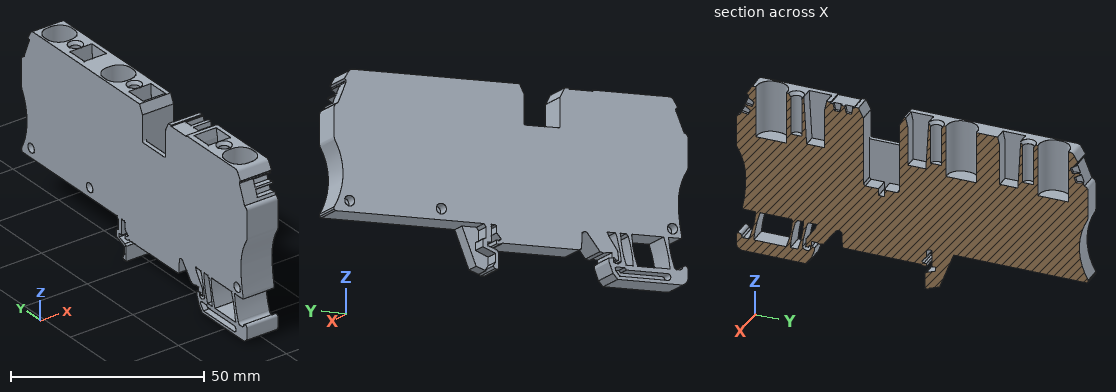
import cadquery as cq
import math

WIDTH = 10.0
LENGTH = 99.1
HEIGHT = 49.5
SIDE_X = WIDTH / 2
END_Y = LENGTH / 2
TOP_Z = HEIGHT / 2
FOOT_Z = -HEIGHT / 2

RAIL_Z = -17.8
BELLY_Z = -13.1
FRAME_Z = -12.5
FRAME_FLOOR_Z = -20.8
GRIP_TOP = (49.3, 5.6)
END_FACE_Z = (14.3, 6.4)

TOP_CORNER_Y = 45.1
TOP_CORNER_RADIUS = 1.4
MARKER_HIGH = (46.2, 21.2)
MARKER_LOW = (48.45, 15.6)

NOTCH_Y = (-3.7, -13.7)
NOTCH_MOUTH_Y = (-2.4, -15.1)
NOTCH_CHAMFER_Z = 22.1
NOTCH_FLOOR_Z = 14.0
NOTCH_RADIUS = 0.4
WELL_WIDTH = 7.5
WELL_DEPTH = 11.9
WELL_FLOOR_CHAMFER = 0.5
WELL_SLOT_Y = (-7.9, -9.4)
WELL_SLOT_DEPTH = 2.0

SEAT_Y = (-16.2, -22.9)
SEAT_DEPTH = 0.3

TERMINALS = ((39.6, -1), (13.8, -1), (-39.6, 1))
SHAFT_WIDTH = 8.7
SHAFT_LENGTH = 8.5
SHAFT_CORNER_RADIUS = 3.8
SHAFT_DEPTH = 14.9
TEST_HOLE_OFFSET = 7.1
TEST_HOLE_DIAMETER = 3.0
TEST_HOLE_MOUTH = 4.3
TEST_HOLE_MOUTH_DEPTH = 1.0
TEST_HOLE_DEPTH = 11.9
ENTRY_OFFSET = 12.5
ENTRY_LENGTH = 6.4
ENTRY_X = (-3.4, 3.7)
ENTRY_DEPTH = 13.9
ENTRY_FAR_TAPER = 0.6
ENTRY_NEAR_TAPER = 0.8
ENTRY_FAR_TAPER_DEPTH = 2.6

GROOVE_START_X = -0.6
GROOVE_DEPTH = 2.0
TOP_GROOVES_Y = (-17.8, -21.1)
END_GROOVES_Z = (20.0, 17.4)
GROOVE_WIDTH = 2.2
GROOVE_FLOOR_WIDTH = 1.4

PIN_HOLES_Y = (45.2, 19.5, -45.2)
PIN_HOLE_Z = -10.1
PIN_HOLE_DIAMETER = 2.8
PIN_HOLE_DEPTH = 4.0

BEAM_RECESS_DEPTH = 4.0
RIB_START_X = 0.0


def prism(outline, x_start, x_end):
    """Extrude a closed YZ outline between two X positions."""
    return outline.extrude(x_end - x_start).translate((x_start, 0, 0))


def profile():
    """Empty sketch in the YZ plane, with Y across and Z up."""
    return cq.Workplane("YZ")


def box_between(x, y, z):
    """Box spanning the two limits given along each axis."""
    lows = [min(pair) for pair in (x, y, z)]
    sizes = [abs(pair[1] - pair[0]) for pair in (x, y, z)]
    return cq.Workplane("XY").box(*sizes, centered=False).translate(tuple(lows))


def mirrored(point):
    """Matching profile point at the opposite Y end."""
    return (-point[0], point[1])


def trace(outline, points):
    """Continue an outline with straight lines through the given points."""
    for point in points:
        outline = outline.lineTo(*point)
    return outline


def round_crosswise_edges(body, y_positions, z, radius):
    """Fillet the edges that run along X at the given positions."""
    half = radius / 10
    for y in y_positions:
        corner = cq.selectors.BoxSelector((-WIDTH, y - half, z - half), (WIDTH, y + half, z + half))
        body = body.edges("|X").edges(corner).fillet(radius)
    return body


def housing():
    """Full-width body: terminal block, rail clip and foot in one outline."""
    end_points = [
        (TOP_CORNER_Y, TOP_Z),
        (46.7, 22.1),
        (46.2, 21.6),
        MARKER_HIGH,
        MARKER_LOW,
        (48.7, 15.5),
    ]
    end_face = (END_Y, END_FACE_Z[0])
    end_foot = (END_Y, END_FACE_Z[1])
    ledge_middle = (49.2, 15.1)
    grip_lip_middle = (49.4, 5.9)
    notch_points = [
        (NOTCH_MOUTH_Y[1], TOP_Z),
        (NOTCH_Y[1], NOTCH_CHAMFER_Z),
        (NOTCH_Y[1], NOTCH_FLOOR_Z),
        (NOTCH_Y[0], NOTCH_FLOOR_Z),
        (NOTCH_Y[0], NOTCH_CHAMFER_Z),
        (NOTCH_MOUTH_Y[0], TOP_Z),
    ]
    clip_points = [
        (7.6, BELLY_Z),
        (7.0, -14.0),
        (7.0, -16.8),
        (7.9, -17.1),
        (7.9, -19.2),
        (4.4, -20.7),
        (4.4, -23.0),
        (5.1, -24.1),
        (4.6, FOOT_Z),
        (3.5, FOOT_Z),
        (3.5, -20.2),
        (4.1, -19.7),
        (6.5, -18.8),
        (6.5, RAIL_Z),
        (5.5, RAIL_Z),
        (5.5, BELLY_Z),
        (4.5, BELLY_Z),
        (4.1, -13.5),
        (4.1, -15.3),
        (2.8, -16.7),
        (3.3, -17.2),
        (4.1, -17.1),
        (4.1, -18.1),
        (2.8, -18.1),
        (2.5, RAIL_Z),
    ]
    rail_gap_points = [
        (-19.3, RAIL_Z),
        (-19.7, -17.4),
        (-19.8, -13.8),
    ]
    foot_points = [
        (-24.9, RAIL_Z),
        (-26.0, -18.1),
        (-27.1, RAIL_Z),
        (-28.2, RAIL_Z),
        (-28.2, -19.2),
        (-27.3, -19.3),
        (-27.4, -20.4),
        (-28.5, -23.3),
        (-29.8, FOOT_Z),
        (-47.8, FOOT_Z),
    ]

    outline = profile().moveTo(*mirrored(end_foot)).lineTo(*mirrored(end_face))
    outline = outline.threePointArc(mirrored(ledge_middle), mirrored(end_points[-1]))
    outline = trace(outline, [mirrored(point) for point in reversed(end_points[:-1])])
    outline = trace(outline, notch_points + end_points)
    outline = outline.threePointArc(ledge_middle, end_face).lineTo(*end_foot)
    outline = outline.threePointArc(grip_lip_middle, GRIP_TOP)
    outline = outline.threePointArc((47.1, -3.3), (END_Y, -12.1))
    outline = outline.lineTo(END_Y, -12.7).lineTo(49.1, BELLY_Z)
    outline = trace(outline, clip_points + rail_gap_points)
    outline = outline.threePointArc((-20.5, -12.9), (-21.4, -13.3))
    outline = trace(outline, foot_points)
    outline = outline.threePointArc((-48.9, -24.3), (-END_Y, -23.0)).lineTo(-END_Y, -20.4)
    outline = outline.threePointArc((-48.7, -19.6), (-48.0, -20.4))
    outline = outline.lineTo(-47.5, FRAME_FLOOR_Z).lineTo(-46.4, FRAME_FLOOR_Z)
    outline = outline.threePointArc((-46.0, -20.6), (-45.7, -20.0))
    outline = outline.threePointArc((-44.9, -17.4), (-44.1, -13.0)).lineTo(-44.1, FRAME_Z)
    outline = outline.lineTo(-47.8, FRAME_Z).lineTo(-47.8, -11.7)
    outline = outline.threePointArc((-47.1, -7.2), (-46.9, -3.1))
    outline = outline.threePointArc((-47.5, 1.4), mirrored(GRIP_TOP))
    outline = outline.threePointArc(mirrored(grip_lip_middle), mirrored(end_foot)).close()
    body = prism(outline, -SIDE_X, SIDE_X)
    body = round_crosswise_edges(body, (TOP_CORNER_Y, -TOP_CORNER_Y), TOP_Z, TOP_CORNER_RADIUS)
    return round_crosswise_edges(body, NOTCH_Y, NOTCH_FLOOR_Z, NOTCH_RADIUS)


def frame_windows():
    """Through openings that leave slender struts between housing and foot."""
    finger_slot = (
        profile()
        .moveTo(-26.95, FRAME_Z)
        .lineTo(-29.1, FRAME_Z)
        .lineTo(-29.5, -13.2)
        .lineTo(-30.5, -17.4)
        .lineTo(-30.8, -19.8)
        .threePointArc((-29.9, -20.6), (-28.7, -20.2))
        .lineTo(-28.6, -19.1)
        .lineTo(-28.9, -19.1)
        .lineTo(-29.2, -19.7)
        .lineTo(-30.0, -19.7)
        .lineTo(-29.9, -17.4)
        .lineTo(-27.3, -13.6)
        .close()
    )
    narrow_window = (
        profile()
        .moveTo(-30.6, FRAME_Z)
        .lineTo(-32.2, FRAME_Z)
        .lineTo(-32.8, -13.2)
        .threePointArc((-33.7, -16.8), (-34.2, FRAME_FLOOR_Z))
        .lineTo(-32.2, FRAME_FLOOR_Z)
        .threePointArc((-31.1, -16.8), (-30.6, FRAME_Z))
        .close()
    )
    wide_window = (
        profile()
        .moveTo(-34.0, FRAME_Z)
        .lineTo(-42.7, FRAME_Z)
        .threePointArc((-43.9, -16.8), (-44.5, FRAME_FLOOR_Z))
        .lineTo(-35.5, FRAME_FLOOR_Z)
        .threePointArc((-34.3, -16.8), (-33.8, -12.9))
        .close()
    )
    slot = prism(finger_slot, -SIDE_X, SIDE_X)
    narrow = prism(narrow_window, -SIDE_X, SIDE_X)
    wide = prism(wide_window, -SIDE_X, SIDE_X)
    return slot.union(narrow).union(wide)


def beam_recess():
    """Elongated blind pocket in the -X side of the foot beam."""
    outline = (
        profile()
        .moveTo(-29.7, -21.5)
        .lineTo(-31.7, -21.5)
        .lineTo(-32.3, -22.1)
        .lineTo(-43.8, -22.1)
        .threePointArc((-44.7, -23.0), (-43.8, -23.9))
        .lineTo(-30.4, -23.9)
        .lineTo(-29.2, -22.4)
        .threePointArc((-29.2, -21.8), (-29.7, -21.5))
        .close()
    )
    return prism(outline, -SIDE_X, -SIDE_X + BEAM_RECESS_DEPTH)


def clip_rib():
    """Rib set back from the -X side that fills the corner behind the clip."""
    outline = profile().polyline(
        [
            (11.7, BELLY_Z),
            (7.7, -23.4),
            (5.0, -24.4),
            (4.4, -23.0),
            (4.4, -20.7),
            (7.2, -19.1),
            (6.7, BELLY_Z),
        ]
    ).close()
    return prism(outline, RIB_START_X, SIDE_X)


def pin_holes():
    """Blind round holes along the lower edge of the -X side."""
    centres = [(y, PIN_HOLE_Z) for y in PIN_HOLES_Y]
    outline = profile().pushPoints(centres).circle(PIN_HOLE_DIAMETER / 2)
    return prism(outline, -SIDE_X, -SIDE_X + PIN_HOLE_DEPTH)


def terminal(shaft_y, direction):
    """Screw shaft, test hole and tapered wire entry of one terminal."""
    shaft = (
        cq.Workplane("XY", origin=(0, shaft_y, TOP_Z))
        .rect(SHAFT_WIDTH, SHAFT_LENGTH)
        .extrude(-SHAFT_DEPTH)
        .edges("|Z")
        .fillet(SHAFT_CORNER_RADIUS)
    )

    hole_y = shaft_y + direction * TEST_HOLE_OFFSET
    hole = (
        cq.Workplane("XY", origin=(0, hole_y, TOP_Z))
        .circle(TEST_HOLE_DIAMETER / 2)
        .extrude(-TEST_HOLE_DEPTH)
    )
    mouth = (
        cq.Workplane("XY", origin=(0, hole_y, TOP_Z))
        .circle(TEST_HOLE_MOUTH / 2)
        .workplane(offset=-TEST_HOLE_MOUTH_DEPTH)
        .circle(TEST_HOLE_DIAMETER / 2)
        .loft()
    )

    entry_y = shaft_y + direction * ENTRY_OFFSET
    near_y = entry_y - direction * ENTRY_LENGTH / 2
    far_y = entry_y + direction * ENTRY_LENGTH / 2
    floor_z = TOP_Z - ENTRY_DEPTH
    far_floor_y = far_y - direction * ENTRY_FAR_TAPER
    entry_outline = profile().polyline(
        [
            (near_y, TOP_Z),
            (far_y, TOP_Z),
            (far_floor_y, TOP_Z - ENTRY_FAR_TAPER_DEPTH),
            (far_floor_y, floor_z),
            (near_y + direction * ENTRY_NEAR_TAPER, floor_z),
        ]
    ).close()
    entry = prism(entry_outline, *ENTRY_X)
    return shaft.union(hole).union(mouth).union(entry)


def bridge_well():
    """Well below the notch, with chamfered floor ends and a cross slot in its floor."""
    floor_z = NOTCH_FLOOR_Z - WELL_DEPTH
    across = (-WELL_WIDTH / 2, WELL_WIDTH / 2)
    rim_z = NOTCH_FLOOR_Z + NOTCH_RADIUS
    well = box_between(across, NOTCH_Y, (floor_z, rim_z))
    well = well.edges("|X and <Z").chamfer(WELL_FLOOR_CHAMFER)
    slot = box_between(across, WELL_SLOT_Y, (floor_z - WELL_SLOT_DEPTH, floor_z))
    return well.union(slot)


def marker_seat():
    """Shallow full-width step in the top face."""
    return box_between((-SIDE_X, SIDE_X), SEAT_Y, (TOP_Z - SEAT_DEPTH, TOP_Z))


def groove(y, z, tilt):
    """Tapered groove sunk below a face point; tilt turns it about X from facing up."""
    outline = profile().polyline(
        [
            (-GROOVE_FLOOR_WIDTH / 2, -GROOVE_DEPTH),
            (GROOVE_FLOOR_WIDTH / 2, -GROOVE_DEPTH),
            (GROOVE_WIDTH / 2, 0),
            (GROOVE_WIDTH / 2, GROOVE_DEPTH),
            (-GROOVE_WIDTH / 2, GROOVE_DEPTH),
            (-GROOVE_WIDTH / 2, 0),
        ]
    ).close()
    cutter = prism(outline, GROOVE_START_X, SIDE_X)
    return cutter.rotate((0, 0, 0), (1, 0, 0), tilt).translate((0, y, z))


def marker_grooves():
    """Two grooves in the top seat and two in each slanted end face."""
    seat_z = TOP_Z - SEAT_DEPTH
    cutters = [groove(y, seat_z, 0) for y in TOP_GROOVES_Y]
    run = MARKER_LOW[0] - MARKER_HIGH[0]
    drop = MARKER_HIGH[1] - MARKER_LOW[1]
    face_tilt = math.degrees(math.atan2(drop, run))
    for z in END_GROOVES_Z:
        y = MARKER_HIGH[0] + run * (MARKER_HIGH[1] - z) / drop
        cutters.append(groove(y, z, -face_tilt))
        cutters.append(groove(-y, z, face_tilt))
    return cutters


result = housing().union(clip_rib())
result = result.cut(frame_windows()).cut(beam_recess()).cut(pin_holes())
for shaft_y, direction in TERMINALS:
    result = result.cut(terminal(shaft_y, direction))
result = result.cut(bridge_well()).cut(marker_seat())
for cutter in marker_grooves():
    result = result.cut(cutter)